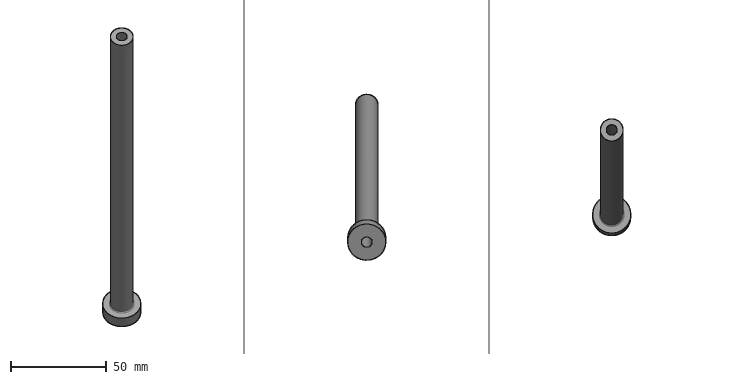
import cadquery as cq

total_length = 225.0
head_diameter = 20.0
head_height = 7.0
shank_diameter = 12.0
bore_diameter = 5.6
root_fillet = 0.56

head = cq.Workplane("XY").circle(head_diameter / 2).extrude(head_height)
shank = cq.Workplane("XY").circle(shank_diameter / 2).extrude(total_length)
body = head.union(shank)

body = body.edges(cq.selectors.RadiusNthSelector(0)).edges("<Z").fillet(root_fillet)

bore = cq.Workplane("XY").circle(bore_diameter / 2).extrude(total_length)
result = body.cut(bore)